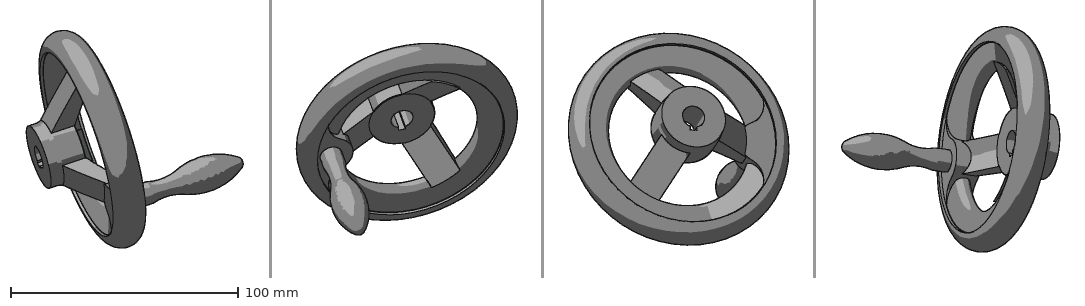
import cadquery as cq
import math


wheel_radius = 50.0
rim_front = 18.0
rim_thickness = 15.0
rim_round = rim_thickness / 2
rim_middle = rim_front + rim_round
rim_back = rim_front + rim_thickness
lip_radius = wheel_radius - rim_round
lip_width = 0.3
lip_depth = 1.4
rim_inner_radius = 32.0
inner_round = 3.8
dish_angle = math.radians(18)

bore_diameter = 10.0
collar_diameter = 29.0
collar_length = 4.2
hub_radius = 15.0
hub_flare_end = 6.2
hub_back = 17.1
hub_chamfer = 0.3
key_width = 3.0
key_reach = 6.4

spoke_count = 3
spoke_width = 15.0
spoke_front_at_hub = 6.0
spoke_front_slope = 0.94
spoke_back_slope = 0.68

handle_x = 36.0
pad_front = rim_front + lip_depth
pad_back = rim_back - lip_depth
pad_fillet = 10.0
boss_radius = 10.0

shank_diameter = 10.0
shank_end = 38.1
neck_radius = 4.1
neck_y = 44.7
neck_end = 52.0
neck_end_radius = 5.4
grip_radius = 7.9
grip_y = 65.0
tip_start = 81.0
tip_radius = 2.5
handle_end = 82.2


def revolve(profile):
    """Turn a closed (radius, Y) profile about the Y axis."""
    return profile.close().revolve(360, (0, 0, 0), (0, 1, 0))


def cylinder_y(x, radius, start, end):
    """Cylinder along Y, centred at the given X."""
    return cq.Workplane("XZ", origin=(x, start, 0)).circle(radius).extrude(start - end)


def make_rim():
    """Ring with the same stepped dish on its front and back."""
    round_centre = rim_inner_radius + inner_round
    web_radius = round_centre - inner_round * math.sin(dish_angle)
    web_half = inner_round * math.cos(dish_angle)
    dish_radius = lip_radius - lip_width
    dish_half = rim_round - lip_depth
    return revolve(
        cq.Workplane("XY")
        .moveTo(lip_radius, rim_front)
        .threePointArc((wheel_radius, rim_middle), (lip_radius, rim_back))
        .lineTo(lip_radius, rim_middle + dish_half)
        .lineTo(dish_radius, rim_middle + dish_half)
        .lineTo(web_radius, rim_middle + web_half)
        .threePointArc((rim_inner_radius, rim_middle), (web_radius, rim_middle - web_half))
        .lineTo(dish_radius, rim_middle - dish_half)
        .lineTo(lip_radius, rim_middle - dish_half)
    )


def make_hub():
    """Solid hub that flares from the front collar to its full radius."""
    return revolve(
        cq.Workplane("XY")
        .lineTo(collar_diameter / 2, 0)
        .lineTo(collar_diameter / 2, collar_length)
        .lineTo(hub_radius, hub_flare_end)
        .lineTo(hub_radius, hub_back - hub_chamfer)
        .lineTo(hub_radius - hub_chamfer, hub_back)
        .lineTo(0, hub_back)
    )


def make_spokes():
    """Conical web, kept only inside the radial spoke bars."""
    outer = rim_inner_radius + inner_round / 2
    run = outer - hub_radius
    web = revolve(
        cq.Workplane("XY")
        .moveTo(0, spoke_front_at_hub)
        .lineTo(hub_radius, spoke_front_at_hub)
        .lineTo(outer, spoke_front_at_hub + run * spoke_front_slope)
        .lineTo(outer, hub_back + run * spoke_back_slope)
        .lineTo(hub_radius, hub_back)
        .lineTo(0, hub_back)
    )
    bar = cq.Workplane("XY").box(outer, rim_back, spoke_width, centered=(False, False, True))
    bars = bar
    for i in range(1, spoke_count):
        bars = bars.union(bar.rotate((0, 0, 0), (0, 1, 0), 360 * i / spoke_count))
    return web.intersect(bars)


def make_pad():
    """Round boss under the handle, blended into the rim lip by two tangent fillets."""
    depth = pad_back - pad_front
    centre_radius = lip_radius - pad_fillet
    centre_distance = boss_radius + pad_fillet
    fillet_x = (centre_radius**2 + handle_x**2 - centre_distance**2) / (2 * handle_x)
    fillet_z = math.sqrt(centre_radius**2 - fillet_x**2)
    reach = wheel_radius / centre_radius
    flare = (
        cq.Workplane("XZ", origin=(0, pad_front, 0))
        .polyline([
            (handle_x, 0),
            (fillet_x, fillet_z),
            (fillet_x * reach, fillet_z * reach),
            (wheel_radius, fillet_z * reach),
            (wheel_radius, -fillet_z * reach),
            (fillet_x * reach, -fillet_z * reach),
            (fillet_x, -fillet_z),
        ])
        .close()
        .extrude(-depth)
    )
    for z in (-fillet_z, fillet_z):
        flare = flare.cut(cylinder_y(fillet_x, pad_fillet, 0, rim_back).translate((0, 0, z)))
    boss = cylinder_y(handle_x, boss_radius, pad_front, pad_back)
    return flare.union(boss).intersect(cylinder_y(0, lip_radius, 0, rim_back))


def make_handle():
    """Turned handle with a spherical tip centred on its own axis."""
    tip_height = handle_end - tip_start
    tip_sphere = (tip_radius**2 + tip_height**2) / (2 * tip_height)
    tip_half_angle = math.asin(tip_radius / tip_sphere) / 2
    tip_middle = (
        tip_sphere * math.sin(tip_half_angle),
        handle_end - tip_sphere * (1 - math.cos(tip_half_angle)),
    )
    profile = (
        cq.Workplane("XY")
        .moveTo(0, rim_middle)
        .lineTo(shank_diameter / 2, rim_middle)
        .lineTo(shank_diameter / 2, shank_end)
        .threePointArc((neck_radius, neck_y), (neck_end_radius, neck_end))
        .threePointArc((grip_radius, grip_y), (tip_radius, tip_start))
        .threePointArc(tip_middle, (0, handle_end))
    )
    return revolve(profile).translate((handle_x, 0, 0))


bore = cylinder_y(0, bore_diameter / 2, 0, hub_back)
keyway = cq.Workplane("XY").box(key_width, hub_back, key_reach, centered=(True, False, False))
keyway = keyway.translate((0, 0, -key_reach))

result = (
    make_rim()
    .union(make_hub())
    .union(make_spokes())
    .union(make_pad())
    .union(make_handle())
    .cut(bore)
    .cut(keyway)
)